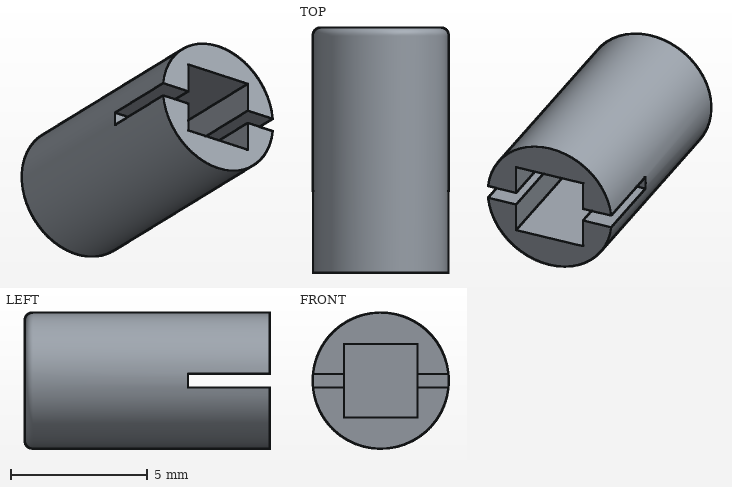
import cadquery as cq

diameter = 5.0
length = 9.0
end_fillet = 0.3

socket_width = 2.7
slot_width = 0.5
slot_depth = 3.0
socket_depth = 6.0


def make_body():
    """Plain cylinder along +Y with its far rim rounded."""
    body = cq.Workplane("XZ").circle(diameter / 2).extrude(-length)
    return body.faces(">Y").edges().fillet(end_fillet)


def open_end_cut(width, height, depth):
    """Centred rectangular cutter reaching from the open end to the given depth."""
    return cq.Workplane("XZ").rect(width, height).extrude(-depth)


socket = open_end_cut(socket_width, socket_width, socket_depth)
slot = open_end_cut(diameter, slot_width, slot_depth)

result = make_body().cut(socket).cut(slot)